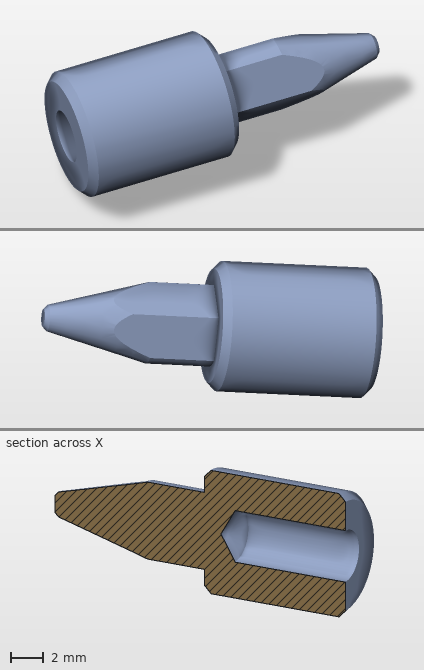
import cadquery as cq
import math

total_length = 20.53
head_diameter = 8.0
head_length = 10.0
head_chamfer = 0.5

pin_diameter = 5.0
relief_width = 4.27
flat_angle = 30.0
taper_angle = 15.0
tip_radius = 0.82
tip_chamfer = 0.27

hole_diameter = 3.3
hole_depth = 7.8
drill_point_angle = 118.0

pin_radius = pin_diameter / 2
hole_radius = hole_diameter / 2
chamfer_start = total_length - tip_chamfer
taper_length = (pin_radius - tip_radius) / math.tan(math.radians(taper_angle))
taper_start = chamfer_start - taper_length


def make_head():
    """Cylinder with both rims chamfered, starting at Y = 0."""
    blank = cq.Workplane("XZ").circle(head_diameter / 2).extrude(-head_length)
    return blank.edges().chamfer(head_chamfer)


def make_round_pin():
    """Tapered pin of revolution with a chamfered tip."""
    return (
        cq.Workplane("XY")
        .moveTo(0, head_length)
        .lineTo(pin_radius, head_length)
        .lineTo(pin_radius, taper_start)
        .lineTo(tip_radius, chamfer_start)
        .lineTo(tip_radius - tip_chamfer, total_length)
        .lineTo(0, total_length)
        .close()
        .revolve(360, (0, 0), (0, 1))
    )


def make_diamond():
    """Rhombic bar whose four sides are the flats of the pin."""
    half_width = relief_width / 2
    half_height = half_width / math.tan(math.radians(flat_angle))
    corners = [(half_width, 0), (0, half_height), (-half_width, 0), (0, -half_height)]
    return cq.Workplane("XZ").polyline(corners).close().extrude(-total_length)


def make_hole():
    """Drilled hole entering the head at Y = 0."""
    point_length = hole_radius / math.tan(math.radians(drill_point_angle / 2))
    return (
        cq.Workplane("XY")
        .polyline([(0, 0), (hole_radius, 0), (hole_radius, hole_depth), (0, hole_depth + point_length)])
        .close()
        .revolve(360, (0, 0), (0, 1))
    )


pin = make_round_pin().intersect(make_diamond())
result = make_head().union(pin).cut(make_hole())